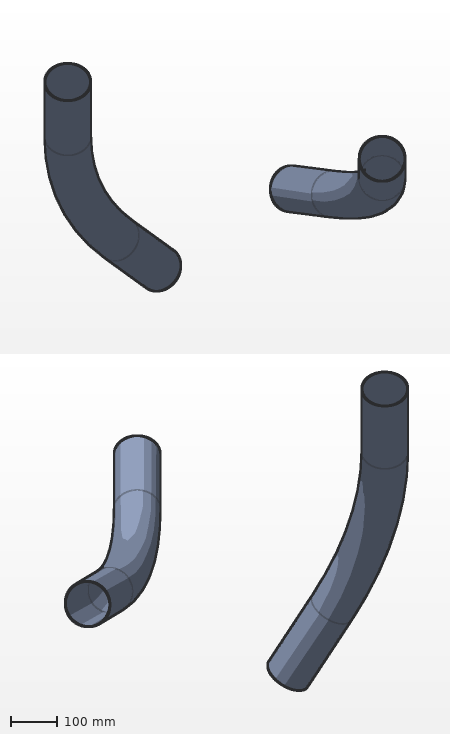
import cadquery as cq
import math

outer_diameter = 101.6
inner_diameter = 97.38
leg_length = 2 * outer_diameter
bend_radius = 9 * outer_diameter
bend_angle = 30.0


def bend_point(angle):
    """Centreline point (Y, Z) of the bend after turning by angle degrees."""
    turn = math.radians(angle)
    return (
        bend_radius * (1 - math.cos(turn)),
        -leg_length - bend_radius * math.sin(turn),
    )


def tube_centreline():
    """Path in the YZ plane, running down from the top end at the origin."""
    end_direction = math.radians(bend_angle)
    bend_end = bend_point(bend_angle)
    lower_end = (
        bend_end[0] + leg_length * math.sin(end_direction),
        bend_end[1] - leg_length * math.cos(end_direction),
    )
    return (
        cq.Workplane("YZ")
        .lineTo(*bend_point(0))
        .threePointArc(bend_point(bend_angle / 2), bend_end)
        .lineTo(*lower_end)
    )


def tube():
    """Ring section swept along the centreline, open at both ends."""
    ring = cq.Workplane("XY").circle(outer_diameter / 2).circle(inner_diameter / 2)
    return ring.sweep(tube_centreline())


result = tube()